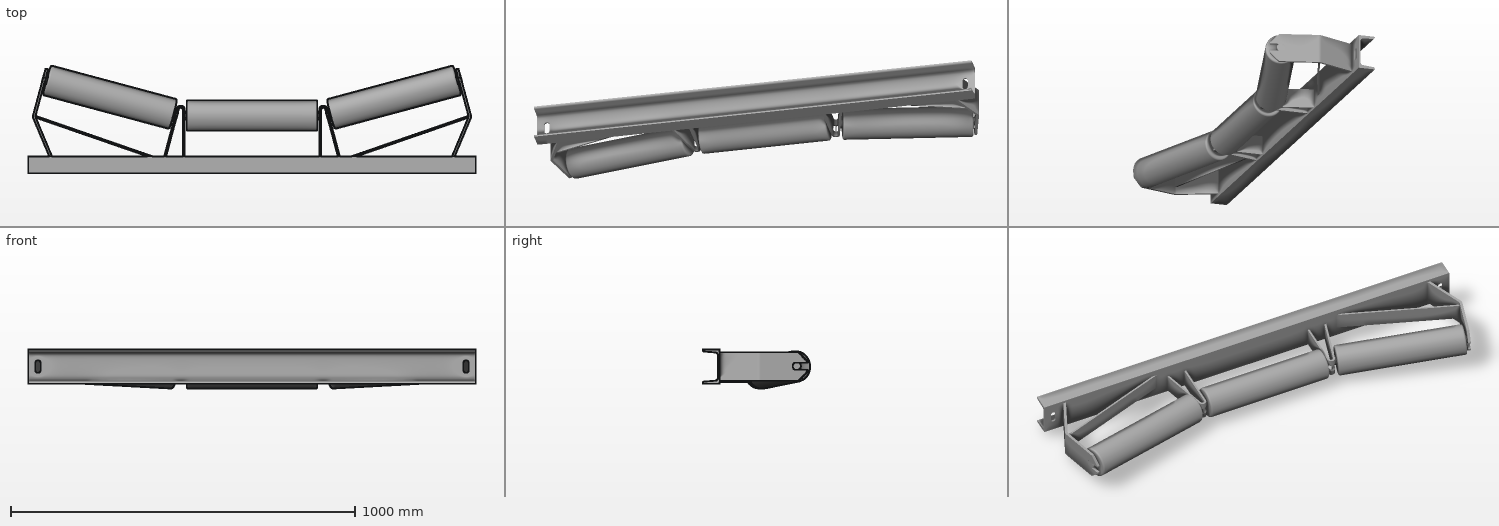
import cadquery as cq
import math

beam_length = 1300.0
trough_angle = 15.0
tilt_angle = 3.0

beam_depth = 50.0
beam_height = 100.0
web_thickness = 5.0
flange_thickness = 8.5
flange_slope = 0.08
root_radius = 8.5
tip_radius = 5.0
beam_slot_width = 15.0
beam_slot_length = 36.0
beam_slot_inset = 29.0
mid_height = beam_height / 2

roller_diameter = 90.0
roller_radius = roller_diameter / 2
roller_length = 380.0
roller_edge_radius = 5.0
shaft_radius = 12.4
shaft_flat_width = 21.0
center_roller_y = 168.0
center_roller_drop = 14.0
center_roller_z = roller_radius - center_roller_drop
wing_roller_x = 412.0
wing_roller_y = 221.0
wing_roller_z = center_roller_z + roller_length / 2 * math.sin(math.radians(tilt_angle))

slot_reach = 65.0
slot_margin = 4.0

inner_plate_thickness = 5.8
inner_bend_radius = 12.0
inner_bracket_face_x = 195.0
inner_bracket_bend_y = 185.0
inner_bracket_bottom_z = 4.0
inner_bracket_top_z = 60.0

outer_plate_thickness = 8.0
outer_bend_radius = 13.0
outer_bracket_height = 83.0
outer_bracket_bend_x = 637.0
outer_bracket_bend_y = 164.0
outer_bracket_tip_y = 304.0
outer_bracket_foot_x = 589.0
tip_chamfer = 26.0

brace_thickness = 5.0
brace_bottom_z = 30.0
brace_top_z = 80.0
brace_foot_x = 296.0

trough_cos = math.cos(math.radians(trough_angle))
trough_sin = math.sin(math.radians(trough_angle))
trough_tan = math.tan(math.radians(trough_angle))
tilt_cos = math.cos(math.radians(tilt_angle))
tilt_sin = math.sin(math.radians(tilt_angle))

center_plane = cq.Plane((0, center_roller_y, center_roller_z), (0, 1, 0), (1, 0, 0))
wing_plane = cq.Plane(
    (wing_roller_x, wing_roller_y, wing_roller_z),
    (-trough_sin, trough_cos, 0),
    (trough_cos * tilt_cos, trough_sin * tilt_cos, tilt_sin),
)


def wing_offset(x, y):
    """Axial position along the wing roller of a point of the XY plane."""
    return ((x - wing_roller_x) * trough_cos + (y - wing_roller_y) * trough_sin) / tilt_cos


inner_bend_x = inner_bracket_face_x + inner_bend_radius
center_shaft_end = inner_bracket_face_x + inner_plate_thickness
wing_shaft_start = (
    wing_offset(inner_bend_x, inner_bracket_bend_y)
    + (inner_bend_radius - inner_plate_thickness) / tilt_cos
)
wing_shaft_end = wing_offset(outer_bracket_bend_x, outer_bracket_bend_y)

lean_run = outer_bracket_bend_x - outer_bracket_foot_x
lean_rise = outer_bracket_bend_y - beam_depth
lean_angle = math.atan2(lean_run, lean_rise)
half_bend = (math.radians(trough_angle) + lean_angle) / 2
miter_angle = (math.radians(trough_angle) - lean_angle) / 2
miter_length = outer_plate_thickness / math.cos(half_bend)
corner_x = outer_bracket_bend_x - miter_length * math.cos(miter_angle)
corner_y = outer_bracket_bend_y - miter_length * math.sin(miter_angle)


def make_beam():
    web_y = beam_depth - web_thickness
    tip_thickness = flange_thickness - beam_depth / 2 * flange_slope
    root_thickness = tip_thickness + web_y * flange_slope
    lower_half = (
        cq.Workplane("YZ", origin=(-beam_length / 2, 0, 0))
        .polyline([
            (0, 0),
            (beam_depth, 0),
            (beam_depth, mid_height),
            (web_y, mid_height),
            (web_y, root_thickness),
            (0, tip_thickness),
        ])
        .close().extrude(beam_length)
    )
    root_edge = cq.NearestToPointSelector((0, web_y, root_thickness))
    lower_half = lower_half.edges(root_edge).fillet(root_radius)
    tip_edge = cq.NearestToPointSelector((0, 0, tip_thickness))
    lower_half = lower_half.edges(tip_edge).fillet(tip_radius)
    upper_half = lower_half.mirror("XY", (0, 0, mid_height))

    slot_x = beam_length / 2 - beam_slot_inset
    slots = (
        cq.Workplane("XZ", origin=(0, beam_depth, mid_height))
        .pushPoints([(-slot_x, 0), (slot_x, 0)])
        .slot2D(beam_slot_length, beam_slot_width, 90)
        .extrude(web_thickness)
    )
    return lower_half.union(upper_half).cut(slots)


def make_shaft(plane, start, end):
    """Round bar with two flats along the plane normal, between two axial positions."""
    shaft = cq.Workplane(plane).workplane(offset=start).circle(shaft_radius).extrude(end - start)
    flats = (
        cq.Workplane(plane).workplane(offset=start)
        .rect(2 * shaft_radius, shaft_flat_width).extrude(end - start)
    )
    return shaft.intersect(flats)


def make_roller(plane, shaft_start, shaft_end):
    """Roller centred on the plane, with its shaft, as one solid."""
    shell = (
        cq.Workplane(plane).workplane(offset=-roller_length / 2)
        .circle(roller_radius).extrude(roller_length)
        .edges("%CIRCLE").fillet(roller_edge_radius)
    )
    return shell.union(make_shaft(plane, shaft_start, shaft_end))


def make_slot(plane, start, end):
    """Cutter for a slot that fits the shaft and is open towards the plane's own +X."""
    opening = (
        cq.Workplane(plane).workplane(offset=start)
        .center(slot_reach / 2, 0).rect(slot_reach, shaft_flat_width).extrude(end - start)
    )
    return opening.union(make_shaft(plane, start, end))


def make_u_block(radius):
    """Solid block under the top bend, bounded by a bend of the given radius."""
    lean_x = radius * trough_cos
    lean_y = radius * trough_sin
    foot_x = inner_bend_x + lean_x + (inner_bracket_bend_y + lean_y - beam_depth) * trough_tan
    return (
        cq.Workplane("XY", origin=(0, 0, inner_bracket_bottom_z))
        .moveTo(inner_bend_x - radius, beam_depth)
        .lineTo(inner_bend_x - radius, inner_bracket_bend_y)
        .threePointArc((inner_bend_x, inner_bracket_bend_y + radius),
                       (inner_bend_x + lean_x, inner_bracket_bend_y + lean_y))
        .lineTo(foot_x, beam_depth)
        .close().extrude(inner_bracket_top_z - inner_bracket_bottom_z)
    )


def make_inner_bracket():
    bracket = make_u_block(inner_bend_radius).cut(make_u_block(inner_bend_radius - inner_plate_thickness))
    center_slot = make_slot(center_plane, roller_length / 2, center_shaft_end + slot_margin)
    wing_slot = make_slot(wing_plane, wing_shaft_start - slot_margin, -roller_length / 2)
    return bracket.cut(center_slot).cut(wing_slot)


def make_outer_bracket():
    tip_x = outer_bracket_bend_x - (outer_bracket_tip_y - outer_bracket_bend_y) * trough_tan
    outline = [
        (outer_bracket_foot_x, beam_depth),
        (outer_bracket_bend_x, outer_bracket_bend_y),
        (tip_x, outer_bracket_tip_y),
        (tip_x - outer_plate_thickness * trough_cos,
         outer_bracket_tip_y - outer_plate_thickness * trough_sin),
        (corner_x, corner_y),
        (outer_bracket_foot_x - outer_plate_thickness / math.cos(lean_angle), beam_depth),
    ]
    bracket = (
        cq.Workplane("XY", origin=(0, 0, mid_height - outer_bracket_height / 2))
        .polyline(outline).close().extrude(outer_bracket_height)
    )
    bracket = bracket.edges("|Z").edges(">X").fillet(outer_bend_radius)
    bracket = bracket.faces(">Y").edges("not |Z").edges(">Z or <Z").chamfer(tip_chamfer)
    return bracket.cut(make_slot(wing_plane, roller_length / 2, wing_shaft_end + slot_margin))


def make_brace():
    """Flat bar centred on the line from its foot on the beam to the inner corner of the bend."""
    slope_angle = math.atan2(corner_y - beam_depth, corner_x - brace_foot_x)
    half_thickness = brace_thickness / 2
    half_foot = half_thickness / math.sin(slope_angle)
    upper_length = half_thickness / math.cos(slope_angle - math.radians(trough_angle))
    lower_length = half_thickness / math.cos(slope_angle + lean_angle)
    outline = [
        (brace_foot_x - half_foot, beam_depth),
        (corner_x - upper_length * trough_sin, corner_y + upper_length * trough_cos),
        (corner_x, corner_y),
        (corner_x - lower_length * math.sin(lean_angle), corner_y - lower_length * math.cos(lean_angle)),
        (brace_foot_x + half_foot, beam_depth),
    ]
    return (
        cq.Workplane("XY", origin=(0, 0, brace_bottom_z))
        .polyline(outline).close().extrude(brace_top_z - brace_bottom_z)
    )


beam = make_beam()
center_roller = make_roller(center_plane, -center_shaft_end, center_shaft_end)
bodies = [beam.val(), center_roller.val()]

wing_roller = make_roller(wing_plane, wing_shaft_start, wing_shaft_end)
inner_bracket = make_inner_bracket()
outer_bracket = make_outer_bracket()
brace = make_brace()
for body in (wing_roller, inner_bracket, outer_bracket, brace):
    bodies.append(body.val())
    bodies.append(body.mirror("YZ").val())

result = cq.Compound.makeCompound(bodies)